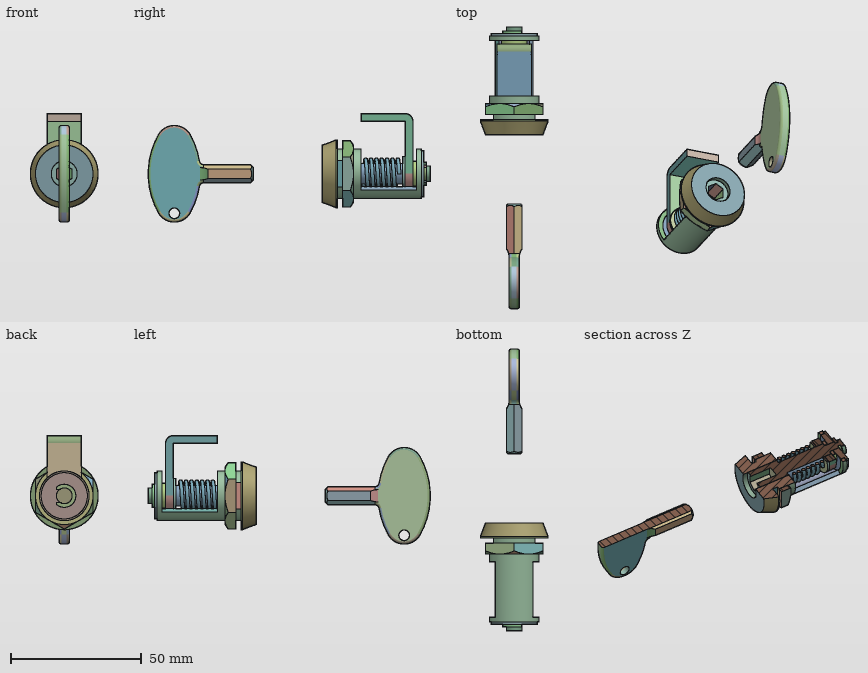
import math
import cadquery as cq


HEAD_BACK = 5.8
NUT_FRONT = 7.8
NUT_BACK = 12.0
COLLAR_BACK = 14.9
WASHER_FRONT = 30.7
CAM_FRONT = 31.7
CAM_THICKNESS = 3.0
CAM_BACK = CAM_FRONT + CAM_THICKNESS
FLANGE_FRONT = 36.0
FLANGE_BACK = 37.8
BUSHING_BACK = 38.8
CLIP_BACK = 39.7
SPINDLE_BACK = 41.3

HEAD_RADIUS = 26.0 / 2
HEAD_FRONT_RADIUS = 11.0
HEAD_RIM = 0.5
BARREL_RADIUS = 9.5
CAGE_BORE_RADIUS = 7.6
NECK_FLATS = 15.9
CAGE_EDGE_ANGLE = 40

NUT_FLATS = 22.0
NUT_CHAMFER_ANGLE = 36

SPINDLE_FRONT = 2.0
SPINDLE_HEAD_RADIUS = 5.0
SPINDLE_RADIUS = 4.0
TAIL_RADIUS = 3.0
GROOVE_RADIUS = 2.5
SOCKET_DEPTH = 8.6

WIRE_RADIUS = 0.7
COIL_RADIUS = 5.4
SPRING_PITCH = 2.0
SPRING_TURNS = 6.75

CAM_HALF_WIDTH = 6.6
CAM_TOP = 46.0 / 2
CAM_TIP = COLLAR_BACK
WASHER_RADIUS = 6.7
SPACER_RADIUS = 4.8
BUSHING_RADIUS = 8.8
CLIP_RADIUS = 4.4
CLIP_FLAT = 2.9

KEY_TIP = -26.3
KEY_FLATS = 6.0
KEY_CORNER_RADIUS = KEY_FLATS / math.sqrt(3)
KEY_TIP_CHAMFER = 1.1
BLEND_START = -43.5
BLEND_END = -46.5
BOW_CENTER = -56.4
BOW_HALF_LENGTH = 10.0
BOW_HALF_HEIGHT = 36.9 / 2
BOW_END_RADIUS = 7.0
BOW_THICKNESS = 4.0
BOW_EDGE_RADIUS = 1.0
NECK_RADIUS = 1.6
KEY_HOLE_RADIUS = 4.0 / 2
KEY_HOLE_Z = -15.1


def cylinder(radius, start, end):
    """Solid cylinder on the lock axis between two Y stations."""
    return cq.Workplane("XZ", origin=(0, start, 0)).circle(radius).extrude(start - end)


def ring(outer_radius, inner_radius, start, end):
    """Cylinder on the lock axis with a through bore."""
    return cylinder(outer_radius, start, end).cut(cylinder(inner_radius, start, end))


def hexagon(across_flats, start, end):
    """Hexagonal prism on the lock axis with corners at the top and bottom."""
    corner_radius = across_flats / math.sqrt(3)
    corners = [
        (corner_radius * math.sin(math.radians(a)), corner_radius * math.cos(math.radians(a)))
        for a in range(0, 360, 60)
    ]
    return cq.Workplane("XZ", origin=(0, start, 0)).polyline(corners).close().extrude(start - end)


def revolved(profile):
    """Solid of revolution about the lock axis from (radius, Y) points."""
    return cq.Workplane("XY").polyline(profile).close().revolve(360, (0, 0, 0), (0, 1, 0))


def make_housing():
    head = revolved([
        (0, 0),
        (HEAD_FRONT_RADIUS, 0),
        (HEAD_RADIUS, HEAD_BACK - HEAD_RIM),
        (HEAD_RADIUS, HEAD_BACK),
        (0, HEAD_BACK),
    ])
    neck_length = NUT_FRONT - HEAD_BACK
    flats = cq.Workplane("XY").box(NECK_FLATS, neck_length, 2 * BARREL_RADIUS)
    flats = flats.translate((0, HEAD_BACK + neck_length / 2, 0))
    neck = cylinder(BARREL_RADIUS, HEAD_BACK, NUT_FRONT).intersect(flats)
    barrel = cylinder(BARREL_RADIUS, NUT_FRONT, FLANGE_BACK)
    body = head.union(neck).union(barrel)

    reach = 2 * BARREL_RADIUS
    drop = reach * math.tan(math.radians(CAGE_EDGE_ANGLE))
    window = (
        cq.Workplane("XZ", origin=(0, COLLAR_BACK, 0))
        .polyline([(0, 0), (reach, -drop), (reach, reach), (-reach, reach), (-reach, -drop)])
        .close()
        .extrude(COLLAR_BACK - FLANGE_FRONT)
    )
    body = body.cut(window)
    body = body.cut(cylinder(CAGE_BORE_RADIUS, COLLAR_BACK, FLANGE_BACK))
    return body.cut(cylinder(SPINDLE_HEAD_RADIUS, 0, COLLAR_BACK))


def make_nut():
    chamfer_start = NUT_FLATS / 2
    cone_growth = NUT_BACK - NUT_FRONT
    cone = revolved([
        (0, NUT_BACK),
        (chamfer_start, NUT_BACK),
        (chamfer_start + cone_growth / math.tan(math.radians(NUT_CHAMFER_ANGLE)), NUT_FRONT),
        (0, NUT_FRONT),
    ])
    nut = hexagon(NUT_FLATS, NUT_FRONT, NUT_BACK).intersect(cone)
    return nut.cut(cylinder(BARREL_RADIUS, NUT_FRONT, NUT_BACK))


def make_spindle():
    spindle = revolved([
        (0, SPINDLE_FRONT),
        (SPINDLE_HEAD_RADIUS, SPINDLE_FRONT),
        (SPINDLE_HEAD_RADIUS, COLLAR_BACK),
        (SPINDLE_RADIUS, COLLAR_BACK),
        (SPINDLE_RADIUS, CAM_BACK),
        (TAIL_RADIUS, CAM_BACK),
        (TAIL_RADIUS, BUSHING_BACK),
        (GROOVE_RADIUS, BUSHING_BACK),
        (GROOVE_RADIUS, CLIP_BACK),
        (TAIL_RADIUS, CLIP_BACK),
        (TAIL_RADIUS, SPINDLE_BACK),
        (0, SPINDLE_BACK),
    ])
    return spindle.cut(hexagon(KEY_FLATS, SPINDLE_FRONT, SPINDLE_FRONT + SOCKET_DEPTH))


def make_spring():
    path = cq.Wire.makeHelix(SPRING_PITCH, SPRING_PITCH * SPRING_TURNS, COIL_RADIUS)
    coil = (
        cq.Workplane("XZ", origin=(COIL_RADIUS, 0, 0))
        .circle(WIRE_RADIUS)
        .sweep(cq.Workplane(obj=path), isFrenet=True)
    )
    coil = coil.rotate((0, 0, 0), (1, 0, 0), -90).rotate((0, 0, 0), (0, 1, 0), 90)
    return coil.translate((0, COLLAR_BACK + WIRE_RADIUS, 0))


def make_cam():
    arm = (
        cq.Workplane("YZ")
        .polyline([
            (CAM_BACK, 0),
            (CAM_BACK, CAM_TOP),
            (CAM_TIP, CAM_TOP),
            (CAM_TIP, CAM_TOP - CAM_THICKNESS),
            (CAM_FRONT, CAM_TOP - CAM_THICKNESS),
            (CAM_FRONT, 0),
        ])
        .close()
        .extrude(CAM_HALF_WIDTH, both=True)
        .edges("|X and >Y and >Z")
        .fillet(CAM_THICKNESS)
    )
    cam = arm.union(cylinder(CAM_HALF_WIDTH, CAM_FRONT, CAM_BACK))
    return cam.cut(cylinder(SPINDLE_RADIUS, CAM_FRONT, CAM_BACK))


def make_bushing():
    boss = cylinder(CAGE_BORE_RADIUS, FLANGE_FRONT, FLANGE_BACK)
    bushing = boss.union(cylinder(BUSHING_RADIUS, FLANGE_BACK, BUSHING_BACK))
    return bushing.cut(cylinder(TAIL_RADIUS, FLANGE_FRONT, BUSHING_BACK))


def make_clip():
    """Open retaining ring: its mouth faces +X and its ends are cut flat."""
    thickness = CLIP_BACK - BUSHING_BACK
    middle = (BUSHING_BACK + CLIP_BACK) / 2
    clip = ring(CLIP_RADIUS, GROOVE_RADIUS, BUSHING_BACK, CLIP_BACK)
    mouth = cq.Workplane("XY").box(CLIP_RADIUS, thickness, 2 * GROOVE_RADIUS)
    clip = clip.cut(mouth.translate((CLIP_RADIUS / 2, middle, 0)))
    trim = cq.Workplane("XY").box(2 * CLIP_RADIUS, thickness, 2 * CLIP_RADIUS)
    return clip.cut(trim.translate((CLIP_FLAT + CLIP_RADIUS, middle, 0)))


def make_bow():
    """Flat key bow: an oval of four tangent arcs with a flared neck, rounded along its edges."""
    end_center = BOW_HALF_HEIGHT - BOW_END_RADIUS
    side_radius = (BOW_HALF_LENGTH**2 + end_center**2 - BOW_END_RADIUS**2) / (
        2 * (BOW_HALF_LENGTH - BOW_END_RADIUS)
    )
    side_offset = side_radius - BOW_HALF_LENGTH
    join_angle = math.atan2(end_center, side_offset)
    join_y = BOW_END_RADIUS * math.cos(join_angle)
    join_z = end_center + BOW_END_RADIUS * math.sin(join_angle)
    neck_z = KEY_CORNER_RADIUS + NECK_RADIUS
    neck_angle = math.asin(neck_z / (side_radius + NECK_RADIUS))
    neck_y = (side_radius + NECK_RADIUS) * math.cos(neck_angle) - side_offset
    flare_y = side_radius * math.cos(neck_angle) - side_offset
    flare_z = side_radius * math.sin(neck_angle)
    neck_middle_angle = (math.pi / 2 + neck_angle) / 2
    neck_middle = (
        neck_y - NECK_RADIUS * math.cos(neck_middle_angle),
        neck_z - NECK_RADIUS * math.sin(neck_middle_angle),
    )
    side_angle = (neck_angle + join_angle) / 2
    side_middle = (side_radius * math.cos(side_angle) - side_offset, side_radius * math.sin(side_angle))

    plate = (
        cq.Workplane("YZ", origin=(0, BOW_CENTER, 0))
        .moveTo(neck_y, KEY_CORNER_RADIUS)
        .threePointArc(neck_middle, (flare_y, flare_z))
        .threePointArc(side_middle, (join_y, join_z))
        .threePointArc((0, BOW_HALF_HEIGHT), (-join_y, join_z))
        .threePointArc((-BOW_HALF_LENGTH, 0), (-join_y, -join_z))
        .threePointArc((0, -BOW_HALF_HEIGHT), (join_y, -join_z))
        .threePointArc((side_middle[0], -side_middle[1]), (flare_y, -flare_z))
        .threePointArc((neck_middle[0], -neck_middle[1]), (neck_y, -KEY_CORNER_RADIUS))
        .close()
        .extrude(BOW_THICKNESS / 2, both=True)
    )
    return plate.faces("<X or >X").edges("not(>Y)").fillet(BOW_EDGE_RADIUS)


def make_shank():
    """Hexagonal shank with a coned tip; its two side flats sink in concave arcs to the bow faces."""
    shank = hexagon(KEY_FLATS, BLEND_END, KEY_TIP)
    cone = revolved([
        (0, KEY_TIP),
        (KEY_CORNER_RADIUS - KEY_TIP_CHAMFER, KEY_TIP),
        (KEY_CORNER_RADIUS, KEY_TIP - KEY_TIP_CHAMFER),
        (KEY_CORNER_RADIUS, BLEND_END),
        (0, BLEND_END),
    ])
    half_bow = BOW_THICKNESS / 2
    blend_length = BLEND_START - BLEND_END
    blend_depth = KEY_FLATS / 2 - half_bow
    blend_radius = (blend_length**2 + blend_depth**2) / (2 * blend_depth)
    relief = (
        cq.Workplane("XY")
        .moveTo(half_bow, BLEND_END)
        .radiusArc((KEY_FLATS / 2, BLEND_START), blend_radius)
        .lineTo(KEY_FLATS, BLEND_START)
        .lineTo(KEY_FLATS, BLEND_END)
        .close()
        .extrude(KEY_FLATS, both=True)
    )
    return shank.intersect(cone).cut(relief).cut(relief.mirror("YZ"))


def make_key():
    hole = (
        cq.Workplane("YZ", origin=(0, BOW_CENTER, KEY_HOLE_Z))
        .circle(KEY_HOLE_RADIUS)
        .extrude(BOW_THICKNESS, both=True)
    )
    return make_bow().union(make_shank()).cut(hole)


housing = make_housing()
nut = make_nut()
spindle = make_spindle()
spring = make_spring()
washer = ring(WASHER_RADIUS, SPINDLE_RADIUS, WASHER_FRONT, CAM_FRONT)
cam = make_cam()
spacer = ring(SPACER_RADIUS, TAIL_RADIUS, CAM_BACK, FLANGE_FRONT)
bushing = make_bushing()
clip = make_clip()
key = make_key()

result = cq.Compound.makeCompound([
    housing.val(),
    nut.val(),
    spindle.val(),
    spring.val(),
    washer.val(),
    cam.val(),
    spacer.val(),
    bushing.val(),
    clip.val(),
    key.val(),
])